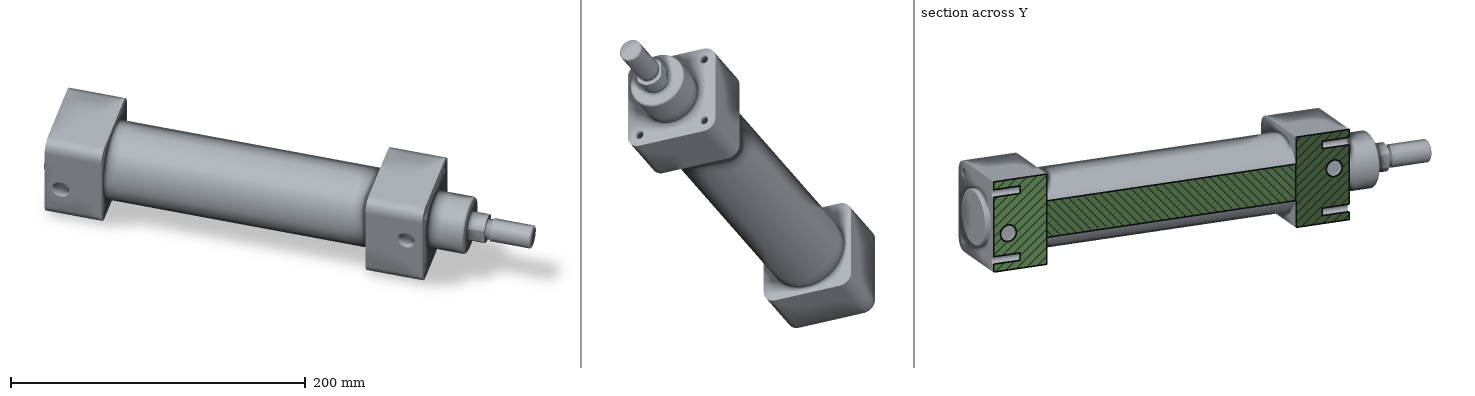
import cadquery as cq

block_size = 65.0
cover_length = 40.0
bolt_spacing = 48.0
corner_radius = (block_size - bolt_spacing) / 2
bolt_hole_diameter = 5.0
bolt_hole_chamfer = 0.7
bolt_hole_depth = 20.0

port_diameter = 11.5
port_chamfer = 0.5
port_depth = 12.0
port_inset = 11.25
port_offset = 6.0

collar_diameter = 39.6
rear_collar_length = 4.0
rear_collar_chamfer = 0.6
front_collar_length = 25.0
front_collar_fillet = 1.5

barrel_diameter = 55.0
barrel_length = 186.0

rod_diameter = 20.0
rod_shoulder_length = 0.4
flats_length = 11.6
flats_width = 17.5
neck_diameter = 14.0
neck_length = 3.0
thread_diameter = 16.0
thread_length = 29.0
thread_chamfer = 0.7

barrel_start = cover_length
front_cover_start = barrel_start + barrel_length
front_cover_end = front_cover_start + cover_length
rod_start = front_cover_end + front_collar_length


def rod_section(start, diameter, length):
    """Cylinder on the X axis, growing toward +X from the given station."""
    return cq.Workplane("YZ", origin=(start, 0, 0)).circle(diameter / 2).extrude(length)


def make_block(start):
    """Square cover block with rounded long edges."""
    block = cq.Workplane("YZ", origin=(start, 0, 0)).rect(block_size, block_size).extrude(cover_length)
    return block.edges("|X").fillet(corner_radius)


def countersunk_hole(diameter, depth, mouth_chamfer):
    """Blind hole cutter whose mouth, at the origin, is chamfered; it runs along +Z."""
    bore = cq.Solid.makeCylinder(diameter / 2, depth)
    mouth = cq.Solid.makeCone(diameter / 2 + mouth_chamfer, diameter / 2, mouth_chamfer)
    return bore.fuse(mouth)


def cut_port(cover, x, z):
    """Cut a blind air port into the -Y face of a cover."""
    port_plane = cq.Plane(origin=(x, -block_size / 2, z), xDir=(1, 0, 0), normal=(0, 1, 0))
    port = countersunk_hole(port_diameter, port_depth, port_chamfer)
    return cover.cut(cq.Workplane(port.moved(cq.Location(port_plane))))


def cut_bolt_holes(cover, face_x, direction):
    """Cut the four corner bolt holes from a cover face; direction is +1 or -1 along X."""
    hole = countersunk_hole(bolt_hole_diameter, bolt_hole_depth, bolt_hole_chamfer)
    face_plane = cq.Plane(origin=(face_x, 0, 0), xDir=(0, 1, 0), normal=(direction, 0, 0))
    holes = (
        cq.Workplane(face_plane)
        .rect(bolt_spacing, bolt_spacing, forConstruction=True)
        .vertices()
        .eachpoint(lambda place: hole.moved(place), useLocalCoordinates=True)
    )
    return cover.cut(holes)


def make_rear_cover():
    collar = rod_section(-rear_collar_length, collar_diameter, rear_collar_length)
    collar = collar.faces("<X").chamfer(rear_collar_chamfer)
    cover = make_block(0).union(collar)
    cover = cut_bolt_holes(cover, 0, 1)
    return cut_port(cover, port_inset, -port_offset)


def make_front_cover():
    collar = rod_section(front_cover_end, collar_diameter, front_collar_length)
    collar = collar.faces(">X").edges().fillet(front_collar_fillet)
    cover = make_block(front_cover_start).union(collar)
    cover = cut_bolt_holes(cover, front_cover_end, -1)
    return cut_port(cover, front_cover_end - port_inset, port_offset)


def make_rod():
    flats_start = rod_start + rod_shoulder_length
    neck_start = flats_start + flats_length
    thread_start = neck_start + neck_length

    shoulder = rod_section(rod_start, rod_diameter, rod_shoulder_length)
    wrench_slab = cq.Workplane("XY").box(
        flats_length, flats_width, rod_diameter, centered=(False, True, True)
    )
    flats = rod_section(flats_start, rod_diameter, flats_length)
    flats = flats.intersect(wrench_slab.translate((flats_start, 0, 0)))
    neck = rod_section(neck_start, neck_diameter, neck_length)
    thread = rod_section(thread_start, thread_diameter, thread_length)
    thread = thread.faces("<X or >X").chamfer(thread_chamfer)
    return shoulder.union(flats).union(neck).union(thread)


rear_cover = make_rear_cover()
barrel = rod_section(barrel_start, barrel_diameter, barrel_length)
front_cover = make_front_cover()
rod = make_rod()

result = cq.Compound.makeCompound([rear_cover.val(), barrel.val(), front_cover.val(), rod.val()])